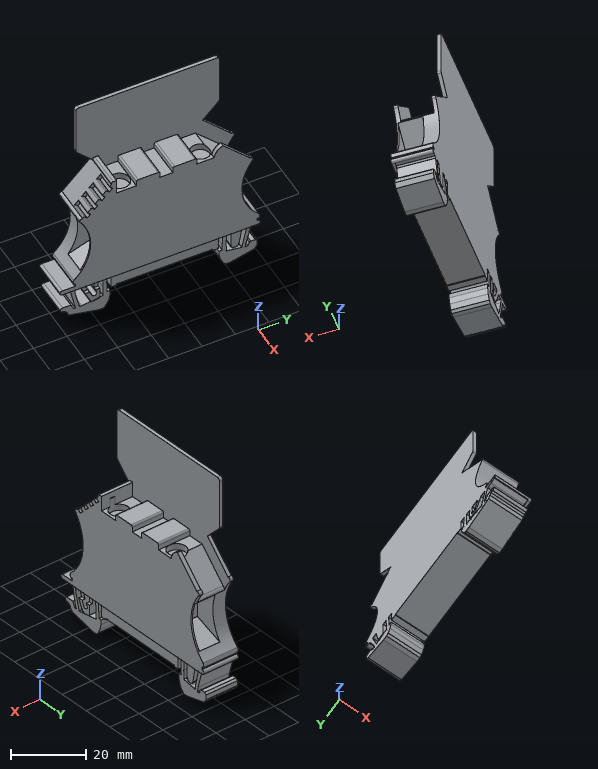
import cadquery as cq
import math


total_width = 11.9
plate_thickness = 1.2
base_width = 10.9
cover_start = 10.55

plate_top = 66.45
plate_half_width = 21.5
plate_corner_radius = 0.9
notch_half_width = 16.5

shoulder_sum = 61.9
recess_sum = 56.0
notch_z = shoulder_sum - notch_half_width
plate_side_bottom = notch_z + (plate_half_width - notch_half_width)

grip_center_y = 37.6
grip_center_z = 26.45
grip_radius = 14.95
horn_top = (25.1, 36.8)
horn_tip = (25.9, 36.4)
horn_bottom_z = 35.5
lip_top_z = 15.2
lip_tip = (28.0, 14.3)
lip_bottom = (27.65, 13.55)
groove_y = 27.25
arm_top_z = 12.9
arm_bottom_z = 11.4
arm_radius = (arm_top_z - arm_bottom_z) / 2
short_arm_end = 28.1
long_arm_end = 31.9

floor_z = 41.7
block_height = 2.0
top_edge_radius = 0.5
block_ranges = ((-9.0, -1.9), (1.9, 9.1))
crest_z = 46.3
crest_inner_y = 14.9
shoulder_floor_y = shoulder_sum - floor_z
recess_floor_y = recess_sum - floor_z
cover_arc_middle = (15.3, 43.85)
cover_top_y = 16.95
recess_lip_start_y = 23.05
recess_lip_middle = (23.5, 32.5)
recess_lip_end_z = 31.95
screw_radius = 2.9
screw_depth = 2.0
screw_x = 8.1
screw_offset = 12.1

tooth_start_x = 6.6
tooth_groove_width = 1.3
tooth_edge_radius = 0.25
tooth_groove_depth = 1.25
tooth_pitch = 3.1
tooth_count = 4
first_groove_z = 45.05

funnel_x_start = 4.4
funnel_x_end = 11.35
funnel_back_y = 16.15
funnel_back_z = (20.9, 25.8)
funnel_mouth_z = (17.6, 31.75)

center_half_width = 16.1
center_bottom = 7.1
rail_lip_width = 1.8
rail_lip_height = 0.4

root_z = 11.95
inner_leg = [(17.5, root_z), (18.6, root_z), (18.4, 7.65), (18.5, 4.65), (17.2, 4.65), (17.2, 7.65)]
foot_toe = [
    (19.7, 0), (18.35, 0), (17.6, 0.65), (16.75, 2.2), (16.3, 4.1), (16.2, 5.65), (17.6, 5.65), (18.5, 4.8),
]

plain_strut = [
    (27.25, arm_bottom_z), (26.4, 11.35), (26.0, 10.8), (24.4, 5.3), (24.05, 3.65), (23.0, 3.65), (24.7, arm_bottom_z),
]
plain_tongue = [
    (23.2, root_z), (23.05, 10.6), (22.25, 5.85), (21.7, 5.05), (20.35, 5.05), (19.9, 5.6), (19.9, root_z),
]
plain_foot = foot_toe + [
    (21.4, 4.3), (23.0, 4.05), (24.05, 3.8), (24.85, 3.8), (25.4, 4.9), (25.8, 5.1), (27.1, 5.1),
    (27.8, 4.6), (27.8, 3.05), (26.85, 1.7),
]

lever_arm = [
    (22.6, root_z), (31.5, arm_bottom_z), (29.85, 10.8), (28.7, 10.7), (28.25, 10.6), (26.7, 3.65), (25.4, 3.65),
    (26.05, 6), (26.9, 9.65), (26.9, 10.9), (22.6, 10.9),
]
lever_loop = [
    (19.95, root_z), (25.6, root_z), (25.1, 10.8), (24.6, 9.3), (22.7, 5.25), (22.45, 5.05),
    (20.3, 5.4), (19.95, 5.65),
]
loop_opening_sides = [
    (21.2, 8.45), (21.1, 11.2), (21.25, 11.4), (23.4, 11.4), (23.65, 11.0), (23.6, 10.35), (22.25, 7.3),
]
loop_opening_low_point = (21.8, 7.0)
lever_nose_y = 30.6
lever_nose_z = 4.8
lever_nose_radius = 0.7
lever_foot = foot_toe + [
    (24.85, 3.8), (27.25, 3.8), (28.05, 5.5), (lever_nose_y, lever_nose_z + lever_nose_radius),
    (lever_nose_y, lever_nose_z - lever_nose_radius), (29.9, 3.8), (29.3, 3.25), (28.7, 2.0),
]
lever_peg_top = 8.9


def side_sketch(x_start=0.0):
    """Workplane with local axes Y and Z, facing +X."""
    return cq.Workplane("YZ", origin=(x_start, 0, 0))


def slab(points, x_start, x_end, side=1):
    """Extruded polygon; side -1 puts it on the -Y half."""
    outline = [(side * y, z) for y, z in points]
    return side_sketch(x_start).polyline(outline).close().extrude(x_end - x_start)


def box(y_range, z_range, x_start, x_end):
    (y0, y1), (z0, z1) = y_range, z_range
    return slab([(y0, z0), (y1, z0), (y1, z1), (y0, z1)], x_start, x_end)


def grip_y(z):
    """Distance of the concave flank from the middle plane at height z."""
    return grip_center_y - math.sqrt(grip_radius**2 - (z - grip_center_z) ** 2)


def flank_half(arm_end, side):
    """One half of the housing contour, below its 45 degree shoulder."""
    def at(y, z):
        return (side * y, z)

    grip_deepest = (grip_center_y - grip_radius, grip_center_z)
    arm_middle_z = arm_bottom_z + arm_radius
    return (
        side_sketch()
        .moveTo(0, arm_bottom_z)
        .lineTo(*at(arm_end - arm_radius, arm_bottom_z))
        .threePointArc(at(arm_end, arm_middle_z), at(arm_end - arm_radius, arm_top_z))
        .lineTo(*at(groove_y, arm_top_z))
        .lineTo(*at(groove_y, lip_bottom[1]))
        .lineTo(*at(*lip_bottom))
        .threePointArc(at(*lip_tip), at(grip_y(lip_top_z), lip_top_z))
        .threePointArc(at(*grip_deepest), at(grip_y(horn_bottom_z), horn_bottom_z))
        .threePointArc(at(*horn_tip), at(*horn_top))
        .lineTo(*at(shoulder_floor_y, floor_z))
        .lineTo(0, floor_z)
        .close()
        .extrude(total_width)
    )


def marking_plate():
    right_side = [
        (shoulder_floor_y, floor_z),
        (notch_half_width, notch_z),
        (plate_half_width, plate_side_bottom),
        (plate_half_width, plate_top),
    ]
    left_side = [(-y, z) for y, z in reversed(right_side)]
    plate = slab(right_side + left_side, 0, plate_thickness)
    return plate.edges("|X and (>Y or <Y)").fillet(plate_corner_radius)


def crest():
    """Ridge with a rounded edge that tops the -Y shoulder."""
    bar = box((-notch_half_width, -crest_inner_y), (floor_z, crest_z), 0, total_width)
    bar = bar.edges("|X and >Z and <Y").fillet(top_edge_radius)
    slope = [
        (notch_half_width, floor_z),
        (notch_half_width, notch_z),
        (shoulder_floor_y, floor_z),
    ]
    return bar.union(slab(slope, 0, total_width, -1))


def cover_wall():
    """Top of the thin +X wall, above floor level on the +Y side."""
    return (
        side_sketch(cover_start)
        .moveTo(recess_floor_y, floor_z)
        .threePointArc(cover_arc_middle, (cover_top_y, shoulder_sum - cover_top_y))
        .lineTo(shoulder_floor_y, floor_z)
        .close()
        .extrude(total_width - cover_start)
    )


def shoulder_recess():
    """Space cleared between plate and cover wall, with a rounded lip at the flank."""
    return (
        side_sketch(plate_thickness)
        .moveTo(recess_floor_y, floor_z)
        .lineTo(recess_lip_start_y, recess_sum - recess_lip_start_y)
        .threePointArc(recess_lip_middle, (grip_y(recess_lip_end_z), recess_lip_end_z))
        .lineTo(grip_center_y, recess_lip_end_z)
        .lineTo(grip_center_y, floor_z)
        .close()
        .extrude(cover_start - plate_thickness)
    )


def raised_block(y_range):
    block = box(y_range, (floor_z, floor_z + block_height), 0, total_width)
    return block.edges("|X and >Z").fillet(top_edge_radius)


def screw_holes():
    return (
        cq.Workplane(origin=(0, 0, floor_z - screw_depth))
        .pushPoints([(screw_x, screw_offset), (screw_x, -screw_offset)])
        .circle(screw_radius)
        .extrude(crest_z - floor_z)
    )


def grip_groove(top_z):
    """Square groove with a rounded mouth, cut along X into the -Y shoulder from height top_z down."""
    down_slope = (0, -1, -1)
    plane = cq.Plane(origin=(tooth_start_x, top_z - shoulder_sum, top_z), xDir=down_slope, normal=(1, 0, 0))
    radius = tooth_edge_radius
    arc_run = radius * math.sqrt(0.5)
    near_wall = radius
    far_wall = radius + tooth_groove_width
    mouth = far_wall + radius
    return (
        cq.Workplane(plane)
        .threePointArc((arc_run, radius - arc_run), (near_wall, radius))
        .lineTo(near_wall, tooth_groove_depth)
        .lineTo(far_wall, tooth_groove_depth)
        .lineTo(far_wall, radius)
        .threePointArc((mouth - arc_run, radius - arc_run), (mouth, 0))
        .close()
        .extrude(total_width - tooth_start_x)
    )


def funnel(side):
    """Wire entry that narrows from the concave flank to a flat back."""
    (back_low, back_high), (mouth_low, mouth_high) = funnel_back_z, funnel_mouth_z
    outline = [
        (funnel_back_y, back_low),
        (grip_y(mouth_low), mouth_low),
        (grip_center_y, mouth_low),
        (grip_center_y, mouth_high),
        (grip_y(mouth_high), mouth_high),
        (funnel_back_y, back_high),
    ]
    return slab(outline, funnel_x_start, funnel_x_end, side)


def center_block():
    block = box((-center_half_width, center_half_width), (center_bottom, arm_bottom_z), 0, base_width)
    for side in (1, -1):
        lip_range = sorted((side * center_half_width, side * (center_half_width - rail_lip_width)))
        block = block.union(
            box(lip_range, (center_bottom - rail_lip_height, center_bottom), 0, base_width)
        )
    return block


def plain_clip():
    clip = slab(plain_foot, 0, base_width)
    for outline in (inner_leg, plain_strut, plain_tongue):
        clip = clip.union(slab(outline, 0, base_width))
    return clip


def loop_opening():
    """Opening inside the lever loop, round at the bottom."""
    sides = [(-y, z) for y, z in loop_opening_sides]
    low_y, low_z = loop_opening_low_point
    return side_sketch().polyline(sides).threePointArc((-low_y, low_z), sides[0]).close().extrude(total_width)


def lever_clip():
    """Clip on the -Y side; the lower part of its loop reaches the full width."""
    clip = slab(lever_foot, 0, base_width, -1)
    for outline in (inner_leg, lever_arm, lever_loop):
        clip = clip.union(slab(outline, 0, base_width, -1))
    nose = side_sketch().center(-lever_nose_y, lever_nose_z).circle(lever_nose_radius).extrude(base_width)
    peg = slab(lever_loop, base_width, total_width, -1)
    peg = peg.cut(box((-long_arm_end, 0), (lever_peg_top, crest_z), base_width, total_width))
    return clip.union(nose).union(peg).cut(loop_opening())


housing = flank_half(short_arm_end, 1).union(flank_half(long_arm_end, -1))
housing = housing.cut(shoulder_recess()).union(crest()).union(cover_wall())
housing = housing.cut(screw_holes())
for y_range in block_ranges:
    housing = housing.union(raised_block(y_range))
for i in range(tooth_count):
    housing = housing.cut(grip_groove(first_groove_z - i * tooth_pitch * math.sqrt(0.5)))
for side in (1, -1):
    housing = housing.cut(funnel(side))

result = housing.union(marking_plate()).union(center_block()).union(plain_clip()).union(lever_clip())